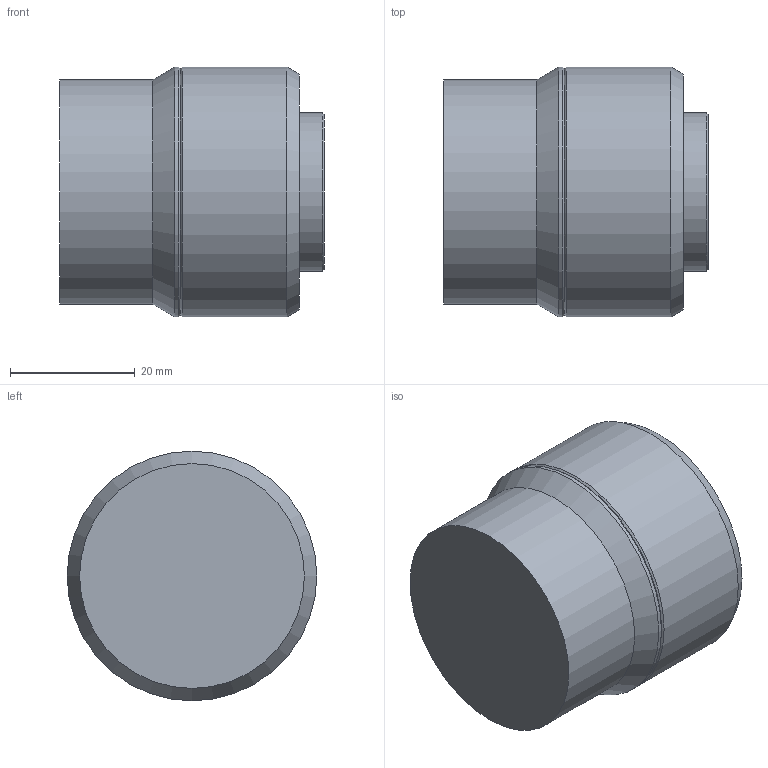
import cadquery as cq
import math

total_length = 42.3

shank_radius = 18.0
shank_length = 14.9

body_radius = 20.0
body_length = 20.0
slope_angle = math.radians(30)
bevel_length = 2.0

groove_offset = 0.6
groove_width = 0.6
groove_depth = 0.25

spigot_radius = 12.7
spigot_chamfer = 0.25

body_start = shank_length + (body_radius - shank_radius) / math.tan(slope_angle)
body_end = body_start + body_length
bevel_start = body_end - bevel_length
bevel_end_radius = body_radius - bevel_length * math.tan(slope_angle)
groove_start = body_start + groove_offset


def make_turned_body():
    """Revolve the half profile (X along the axis, Z as radius) about X."""
    profile = (
        cq.Workplane("XZ")
        .moveTo(0, 0)
        .lineTo(0, shank_radius)
        .lineTo(shank_length, shank_radius)
        .lineTo(body_start, body_radius)
        .lineTo(groove_start, body_radius)
        .lineTo(groove_start + groove_width / 2, body_radius - groove_depth)
        .lineTo(groove_start + groove_width, body_radius)
        .lineTo(bevel_start, body_radius)
        .lineTo(body_end, bevel_end_radius)
        .lineTo(body_end, spigot_radius)
        .lineTo(total_length - spigot_chamfer, spigot_radius)
        .lineTo(total_length, spigot_radius - spigot_chamfer)
        .lineTo(total_length, 0)
        .close()
    )
    return profile.revolve(360, (0, 0, 0), (1, 0, 0))


result = make_turned_body()